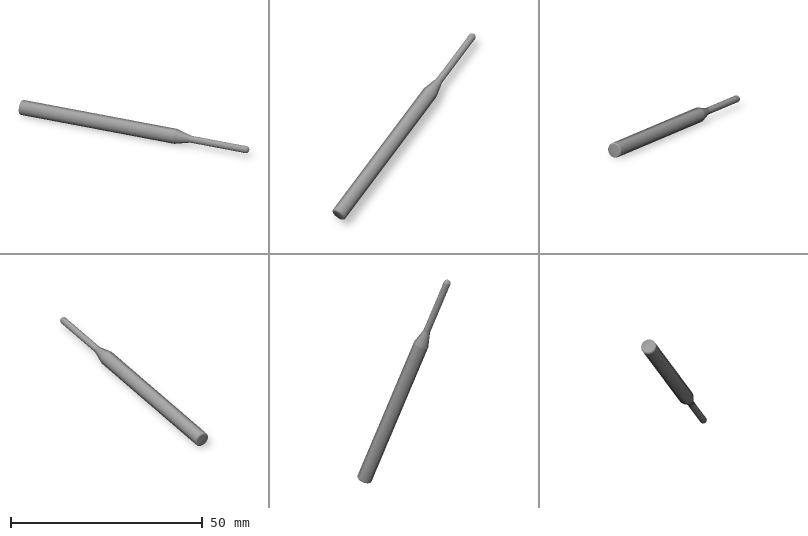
import cadquery as cq

total_length = 63.0
shank_diameter = 4.0
shank_chamfer = 0.25
shank_length = 42.7
cone_end = 46.9
neck_diameter = 1.8
ball_diameter = 1.9
head_length = 1.65

shank_radius = shank_diameter / 2
neck_radius = neck_diameter / 2
ball_radius = ball_diameter / 2
head_start = total_length - head_length
ball_center = total_length - ball_radius
arc_offset = ball_radius * 0.5 ** 0.5

profile = (
    cq.Workplane("XY")
    .moveTo(0, 0)
    .lineTo(0, shank_radius - shank_chamfer)
    .lineTo(shank_chamfer, shank_radius)
    .lineTo(shank_length, shank_radius)
    .lineTo(cone_end, neck_radius)
    .lineTo(head_start, neck_radius)
    .lineTo(head_start, ball_radius)
    .lineTo(ball_center, ball_radius)
    .threePointArc((ball_center + arc_offset, arc_offset), (total_length, 0))
    .close()
)

result = profile.revolve(360, (0, 0, 0), (1, 0, 0))